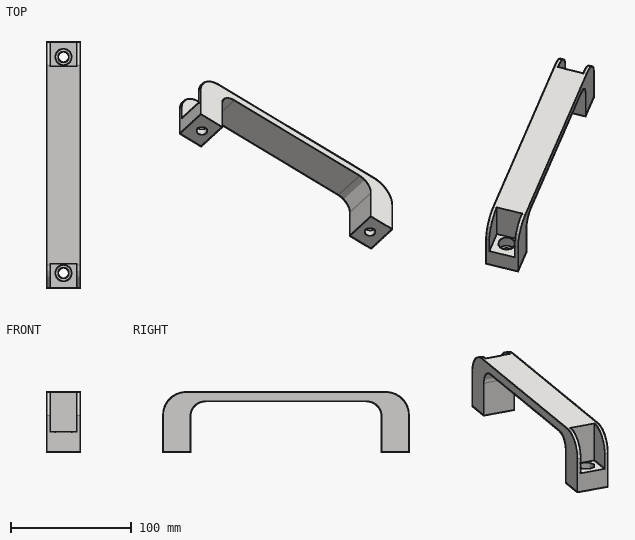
import cadquery as cq

length = 204.0
width = 28.0
height = 50.0
grip_thickness = 8.0
leg_length = 22.8
outer_radius = 19.4
inner_radius = 12.5

pocket_width = 22.0
pocket_length = 20.0
pocket_floor = 16.7

hole_inset = 12.5
hole_diameter = 8.5
counterbore_diameter = 13.5
counterbore_depth = 10.2


def rounded_block(block_length, block_height, corner_radius):
    """Full-width block standing on Z = 0 with its two upper end corners rounded."""
    block = cq.Workplane("XY").box(width, block_length, block_height, centered=(True, True, False))
    return block.edges("|X and >Z").fillet(corner_radius)


def handle_body():
    """Bridge-shaped handle: a rounded block with a rounded opening for the hand."""
    opening = rounded_block(length - 2 * leg_length, height - grip_thickness, inner_radius)
    return rounded_block(length, height, outer_radius).cut(opening)


def mounting_cutter(side):
    """Pocket and counterbored hole for the leg on the given side of Y (-1 or 1)."""
    pocket = (
        cq.Workplane("XY", origin=(0, side * (length - pocket_length) / 2, pocket_floor))
        .box(pocket_width, pocket_length, height - pocket_floor, centered=(True, True, False))
    )
    hole_y = side * (length / 2 - hole_inset)
    hole = cq.Workplane("XY", origin=(0, hole_y, 0)).circle(hole_diameter / 2).extrude(pocket_floor)
    counterbore = (
        cq.Workplane("XY", origin=(0, hole_y, pocket_floor))
        .circle(counterbore_diameter / 2)
        .extrude(-counterbore_depth)
    )
    return pocket.union(hole).union(counterbore)


result = handle_body()
for side in (-1, 1):
    result = result.cut(mounting_cutter(side))